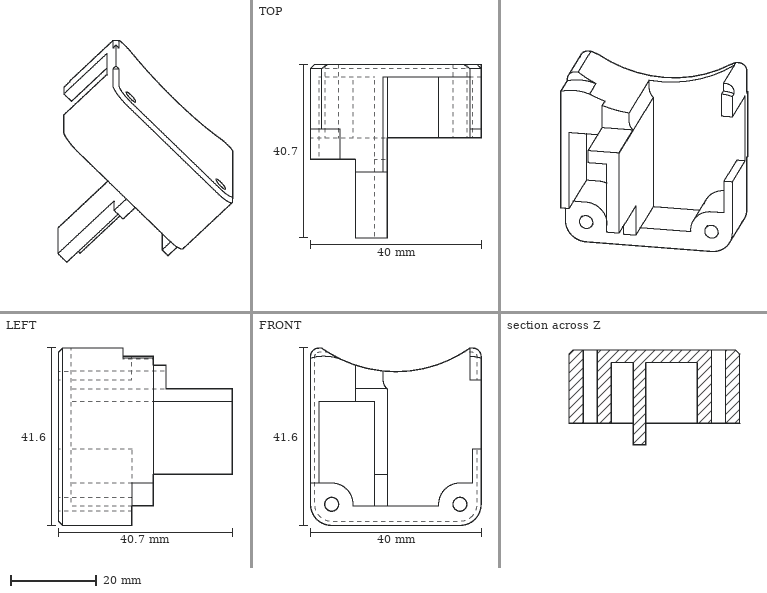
import cadquery as cq

width = 40.0
height = 41.6
body_depth = 17.2
plate_thickness = 3.0
back_chamfer = 1.0
bottom_radius = 5.0
top_radius = 2.0
wall = 2.0
center_x = width / 2

saddle_radius = 30.0
saddle_bottom = 36.05

base_height = 4.6
boss_radius = 5.0
boss_top = bottom_radius + boss_radius
hole_diameter = 3.2

left_depth = 22.25
block_bottom = 29.02
lip_depth = 15.18
lip_edge_height = 39.2
lip_crown_x = 3.4
lip_crown_height = 39.65
lip_end_x = 6.9
lip_end_height = 39.05

rib_left = 10.55
rib_right = 18.0
web_left = 15.0
rib_depth = 25.2
tongue_depth = 40.7
tongue_top = 32.05
tongue_bottom = 11.98
slot_diameter = 6.0
slot_center_height = 34.2

upper_post_left = 37.42
upper_post_depth = 17.15
window_bottom = 17.9
window_top = 34.1


def box(x_range, z_range, depth, start=0.0):
    """Block between two depths measured forward from the back face."""
    return cq.Workplane("XY").box(
        x_range[1] - x_range[0], depth - start, z_range[1] - z_range[0], centered=False
    ).translate((x_range[0], -depth, z_range[0]))


def cylinder(x, z, radius, depth):
    return cq.Workplane("XZ").center(x, z).circle(radius).extrude(depth)


def make_envelope():
    """Solid body with rounded corners and a chamfered back edge."""
    body = box((0, width), (0, height), body_depth)
    body = body.edges("|Y and <Z").fillet(bottom_radius)
    body = body.edges("|Y and >Z").fillet(top_radius)
    return body.faces(">Y").edges().chamfer(back_chamfer)


def make_cavity():
    """Interior volume, leaving the back plate, walls, base and bosses."""
    cavity = box((wall, width - wall), (base_height, height), body_depth, plate_thickness)
    for x in (bottom_radius, width - bottom_radius):
        cavity = cavity.cut(cylinder(x, bottom_radius, boss_radius, body_depth))
    for x_range in ((0, bottom_radius), (width - bottom_radius, width)):
        cavity = cavity.cut(box(x_range, (0, boss_top), body_depth))
    return cavity


def make_shell():
    shell = make_envelope().cut(make_cavity())
    window = box((upper_post_left, width), (window_bottom, window_top), body_depth, plate_thickness)
    upper_post = box((upper_post_left, width - wall), (window_top, height), upper_post_depth, plate_thickness)
    post_relief = box((upper_post_left, width), (window_top, height), body_depth, upper_post_depth)
    window_plate = box((width - wall, width), (window_bottom, window_top), plate_thickness)
    return shell.cut(window).cut(post_relief).union(upper_post).union(window_plate)


def make_left_block():
    """Block above the left pocket, plus the forward part of the left wall."""
    rear = box((wall, rib_left), (block_bottom, height), body_depth, plate_thickness)
    front = box((0, rib_left), (block_bottom, height), left_depth, body_depth)
    wall_extension = box((0, wall), (boss_top, block_bottom), left_depth, body_depth)
    return rear.union(front).union(wall_extension)


def make_rib():
    """Rib and tongue, with one side relieved by a round-bottomed slot."""
    head = box((rib_left, rib_right), (block_bottom, height), rib_depth, plate_thickness)
    web = box((web_left, rib_right), (base_height, block_bottom), left_depth, plate_thickness)
    tongue_web = box((web_left, rib_right), (tongue_bottom, block_bottom), tongue_depth, left_depth)
    flange = box((rib_left, rib_right), (block_bottom, tongue_top), tongue_depth, rib_depth)
    slot_radius = slot_diameter / 2
    slot = cylinder(center_x, slot_center_height, slot_radius, tongue_depth).union(
        box((center_x - slot_radius, center_x + slot_radius), (slot_center_height, height), tongue_depth)
    )
    return head.union(web).union(tongue_web).union(flange).cut(slot)


def make_lip_cut(x_edge, side):
    """Material above the crowned lip at the front of an upper corner."""
    return (
        cq.Workplane("XZ", origin=(0, -lip_depth, 0))
        .moveTo(x_edge, lip_edge_height)
        .threePointArc(
            (x_edge + side * lip_crown_x, lip_crown_height),
            (x_edge + side * lip_end_x, lip_end_height),
        )
        .lineTo(x_edge + side * lip_end_x, height)
        .lineTo(x_edge, height)
        .close()
        .extrude(left_depth - lip_depth)
    )


result = make_shell().union(make_left_block()).union(make_rib())
result = result.cut(cylinder(center_x, saddle_bottom + saddle_radius, saddle_radius, tongue_depth))
result = result.cut(make_lip_cut(0, 1)).cut(make_lip_cut(width, -1))
for hole_x in (bottom_radius, width - bottom_radius):
    result = result.cut(cylinder(hole_x, bottom_radius, hole_diameter / 2, body_depth))